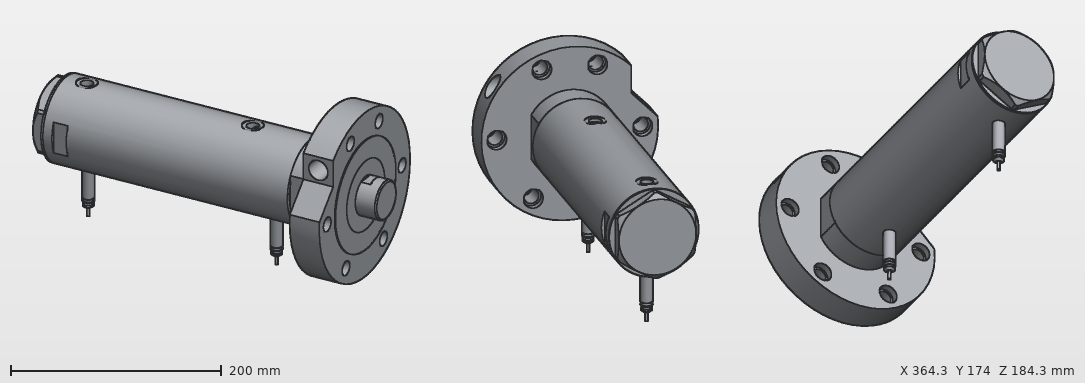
import cadquery as cq
import math


collar_start = 12.5
tube_start = 14.5
piston_start = 40.5
tube_end = 281.2
flange_start = 308.2
flange_end = 340.5
boss_end = 341.7
rod_flat_end = 352.0
overall_length = 364.3

tube_diameter = 88.0
bore_diameter = 68.5
spigot_diameter = 80.0
shank_diameter = 73.0
wrench_width = 76.0
rod_diameter = 40.0
rod_flat_width = 35.7
rod_chamfer = 1.5
piston_length = 29.0

hex_corner_diameter = 86.0
hex_face_diameter = 75.8

clamp_slot_start = 24.5
clamp_slot_end = 40.0
clamp_slot_width = 82.0
port_positions = [37.5, 218.5]
port_diameter = 12.8
spotface_diameter = 21.0
spotface_height = 43.0

flange_diameter = 174.0
boss_diameter = 116.0
bolt_radius = 71.8
bolt_angles = [0.0, 67.5, 112.5, 180.0, 240.0, 300.0]
bolt_diameter = 14.5
counterbore_diameter = 19.0
counterbore_depth = 7.3
notch_side = -60.5
notch_bottom = 35.0
cross_hole_diameter = 20.8
cross_hole_height = 48.5

sensor_positions = [39.0, 244.5]
sensor_radius = 6.2
sensor_seat = -41.5
sensor_body_end = -77.5
first_rib_height = -80.5
groove_height = -82.5
second_rib_height = -83.8
rib_step = 1.0
relief_end = -88.0
sensor_tip = -97.3
relief_radius = 5.5
groove_radius = 4.0
relief_tip_radius = 2.5
cable_radius = 1.5

head_nose_start = port_positions[1]
flange_radius = flange_diameter / 2
flange_middle = (flange_start + flange_end) / 2


def rod_along_x(diameter, start, end):
    """Solid cylinder centred on the X axis between two stations."""
    return cq.Workplane("YZ").workplane(offset=start).circle(diameter / 2).extrude(end - start)


def flat_cutter(start, end, diameter, width_across_flats):
    """Pair of cutting boxes that leave two flats, facing -Y and +Y, on a round of this diameter."""
    length = end - start
    outer = cq.Workplane("XY").box(length, 2 * diameter, diameter)
    kept = cq.Workplane("XY").box(length, width_across_flats, diameter)
    return outer.cut(kept).translate(((start + end) / 2, 0, 0))


def make_cap():
    """Hexagonal cap with turned-off corners, a collar and a spigot that fills the bore."""
    corner_radius = hex_corner_diameter / 2
    face_radius = hex_face_diameter / 2
    chamfer = corner_radius - face_radius
    hexagon = (
        cq.Workplane("YZ")
        .polygon(6, wrench_width / math.cos(math.pi / 6))
        .extrude(collar_start)
        .rotate((0, 0, 0), (1, 0, 0), 90)
    )
    turned_blank = rod_along_x(hex_corner_diameter, 0, collar_start).faces("<X").chamfer(chamfer)
    collar = rod_along_x(tube_diameter, collar_start, tube_start)
    spigot = rod_along_x(bore_diameter, tube_start, piston_start)
    return hexagon.intersect(turned_blank).union(collar).union(spigot)


def make_tube():
    """Tube with a bore, a wider seat for the head, two side slots, two ports and sensor seats."""
    tube = rod_along_x(tube_diameter, tube_start, tube_end)
    tube = tube.cut(rod_along_x(bore_diameter, tube_start, tube_end))
    tube = tube.cut(rod_along_x(spigot_diameter, head_nose_start, tube_end))

    tube = tube.cut(flat_cutter(clamp_slot_start, clamp_slot_end, tube_diameter, clamp_slot_width))

    ports = cq.Workplane("XY").pushPoints([(x, 0) for x in port_positions])
    tube = tube.cut(ports.circle(port_diameter / 2).extrude(tube_diameter))
    spotfaces = cq.Workplane("XY").workplane(offset=spotface_height)
    spotfaces = spotfaces.pushPoints([(x, 0) for x in port_positions])
    tube = tube.cut(spotfaces.circle(spotface_diameter / 2).extrude(tube_diameter))

    seats = cq.Workplane("XY").workplane(offset=sensor_seat)
    seats = seats.pushPoints([(x, 0) for x in sensor_positions])
    return tube.cut(seats.circle(sensor_radius).extrude(-tube_diameter))


def make_head():
    """Rod guide: a nose inside the tube, a neck with wrench flats and a shank in the flange."""
    nose = rod_along_x(spigot_diameter, head_nose_start, tube_end)
    neck = rod_along_x(tube_diameter, tube_end, flange_start)
    neck = neck.cut(flat_cutter(tube_end, flange_start, tube_diameter, wrench_width))
    shank = rod_along_x(shank_diameter, flange_start, boss_end)
    head = nose.union(neck).union(shank)
    return head.cut(rod_along_x(rod_diameter, head_nose_start, boss_end))


def make_flange():
    """Round flange with a rear boss, a notched corner, six bolt holes and one cross hole."""
    flange = rod_along_x(flange_diameter, flange_start, flange_end)
    flange = flange.union(rod_along_x(boss_diameter, flange_end, boss_end))
    flange = flange.cut(rod_along_x(shank_diameter, flange_start, boss_end))

    reach = flange_radius + notch_side
    notch = (
        cq.Workplane("YZ")
        .workplane(offset=flange_start)
        .moveTo(notch_side, flange_radius)
        .lineTo(notch_side, notch_bottom)
        .lineTo(notch_side - reach, notch_bottom - reach)
        .lineTo(notch_side - reach, flange_radius)
        .close()
        .extrude(flange_end - flange_start)
    )
    flange = flange.cut(notch)

    bolt_points = [
        (bolt_radius * math.cos(math.radians(a)), bolt_radius * math.sin(math.radians(a)))
        for a in bolt_angles
    ]
    bolt_plane = cq.Workplane("YZ").workplane(offset=flange_start).pushPoints(bolt_points)
    flange = flange.cut(bolt_plane.circle(bolt_diameter / 2).extrude(flange_end - flange_start))
    flange = flange.cut(bolt_plane.circle(counterbore_diameter / 2).extrude(counterbore_depth))

    cross_hole = (
        cq.Workplane("XZ")
        .center(flange_middle, cross_hole_height)
        .circle(cross_hole_diameter / 2)
        .extrude(flange_radius, both=True)
    )
    return flange.cut(cross_hole)


def make_piston_rod():
    """Piston resting on the cap, with a rod that has two flats and a chamfered end."""
    piston_end = piston_start + piston_length
    rod = rod_along_x(rod_diameter, piston_end, overall_length).faces(">X").chamfer(rod_chamfer)
    flats = flat_cutter(boss_end, rod_flat_end, rod_diameter, rod_flat_width)
    flats = flats.rotate((0, 0, 0), (1, 0, 0), 90)
    return rod_along_x(bore_diameter, piston_start, piston_end).union(rod.cut(flats))


def make_sensor(x):
    """Round sensor hanging below the tube, with a ribbed strain relief and a cable stub."""
    outline = [
        (0, sensor_seat),
        (sensor_radius, sensor_seat),
        (sensor_radius, sensor_body_end),
        (relief_radius, sensor_body_end),
        (relief_radius, first_rib_height),
        (sensor_radius, first_rib_height),
        (groove_radius, groove_height),
        (relief_radius, second_rib_height),
        (groove_radius, second_rib_height - rib_step),
        (relief_radius, second_rib_height - 2 * rib_step),
        (relief_tip_radius, relief_end),
        (cable_radius, relief_end),
        (cable_radius, sensor_tip),
        (0, sensor_tip),
    ]
    profile = cq.Workplane("XZ").polyline(outline).close()
    return profile.revolve(360, (0, 0, 0), (0, 1, 0)).translate((x, 0, 0))


cap = make_cap()
tube = make_tube()
head = make_head()
flange = make_flange()
piston_rod = make_piston_rod()
sensors = [make_sensor(x) for x in sensor_positions]

result = cq.Compound.makeCompound(
    [
        cap.val(),
        tube.val(),
        head.val(),
        flange.val(),
        piston_rod.val(),
        *[sensor.val() for sensor in sensors],
    ]
)